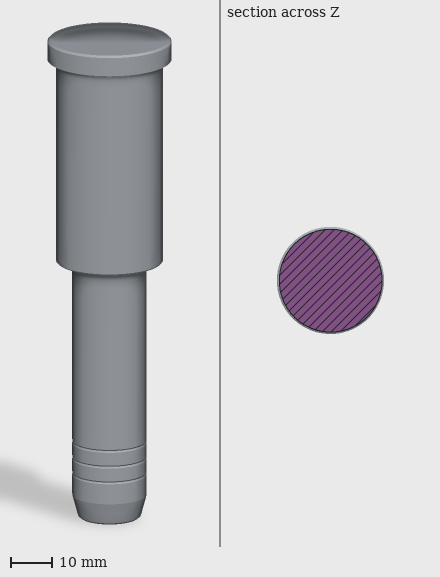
import cadquery as cq
import math

length = 120.0

head_radius = 15.0
head_height = 5.0
head_chamfer = 0.5

body_radius = 13.0
body_bottom = 64.2
body_chamfer = 0.4

shank_radius = 9.0
tip_height = 5.6
tip_angle = 15.0
tip_chamfer = 0.5

head_undercut_width = 0.5
body_undercut_width = 1.2
undercut_depth = 0.5

groove_count = 3
groove_width = 0.7
groove_depth = 0.4
groove_pitch = 4.0
lowest_groove_center = 11.0


def cylinder(radius, bottom, top):
    return cq.Workplane("XY").workplane(offset=bottom).circle(radius).extrude(top - bottom)


def revolved(points):
    """Solid of revolution about Z from (radius, height) points."""
    return cq.Workplane("XZ").polyline(points).close().revolve(360, (0, 0, 0), (0, 1, 0))


def groove_cutter(center_height):
    """V-section ring that cuts one groove into the shank."""
    return revolved([
        (shank_radius, center_height - groove_width / 2),
        (shank_radius - groove_depth, center_height),
        (shank_radius, center_height + groove_width / 2),
    ])


def make_head():
    return cylinder(head_radius, length - head_height, length).faces(">Z").edges().chamfer(head_chamfer)


def make_body():
    head_bottom = length - head_height
    body_top = head_bottom - head_undercut_width
    neck = cylinder(body_radius - undercut_depth, body_top, head_bottom)
    body = cylinder(body_radius, body_bottom, body_top).edges().chamfer(body_chamfer)
    return body.union(neck)


def make_shank():
    shank_top = body_bottom - body_undercut_width
    neck = cylinder(shank_radius - undercut_depth, shank_top, body_bottom)
    shank = cylinder(shank_radius, tip_height, shank_top).union(neck)
    for index in range(groove_count):
        shank = shank.cut(groove_cutter(lowest_groove_center + index * groove_pitch))
    return shank


def make_tip():
    tip_radius = shank_radius - tip_height * math.tan(math.radians(tip_angle))
    tip = revolved([(0, 0), (tip_radius, 0), (shank_radius, tip_height), (0, tip_height)])
    return tip.faces("<Z").edges().chamfer(tip_chamfer)


result = make_head().union(make_body()).union(make_shank()).union(make_tip())